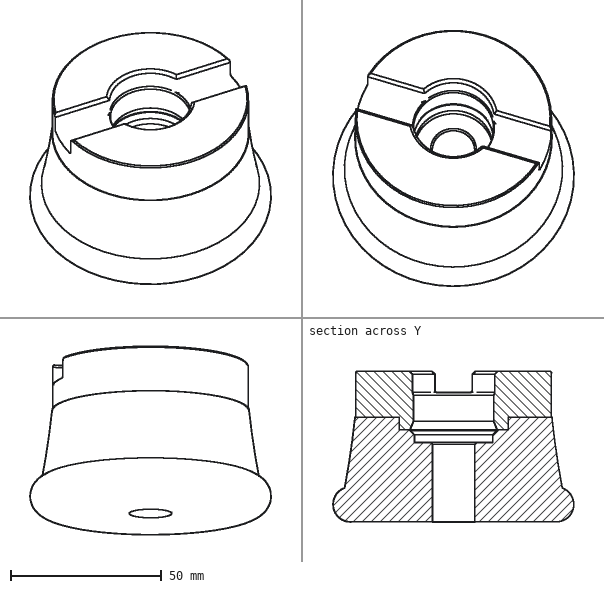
import cadquery as cq
import math

outer_radius = 40.0
rim_radius = 5.8
skirt_bottom_radius = 36.1
skirt_top_radius = 32.7
skirt_sag = 0.2
seam_height = 34.8
through_hole_diameter = 14.0
hole_chamfer = 0.55
pocket_diameter = 25.9
pocket_floor_height = 26.4

ring_diameter = 65.0
total_height = 50.0
rim_edge_chamfer = 0.5
upper_bore_diameter = 27.2
lower_bore_diameter = 26.55
bore_taper_height = 0.95
mouth_chamfer = 1.0
slot_width = 12.3
slot_depth = 7.0
slot_floor_fillet = 0.7
slot_mouth_chamfer = 1.0
slot_corner_fillet = 0.8

spigot_diameter = 36.0
spigot_bottom_height = 30.6
spigot_bevel_height = 2.7
socket_bevel_height = 1.4
groove_diameter = 28.8
groove_land_height = 0.3

rim_centre_radius = outer_radius - rim_radius
skirt_bottom_height = rim_radius + math.sqrt(
    rim_radius**2 - (skirt_bottom_radius - rim_centre_radius) ** 2
)
slot_floor_height = total_height - slot_depth


def revolve_about_z(profile):
    """Turn a closed radius-height profile about the Z axis."""
    return profile.close().revolve(360, (0, 0, 0), (0, 1, 0))


def make_base():
    hole_radius = through_hole_diameter / 2
    pocket_radius = pocket_diameter / 2
    land_bottom = spigot_bottom_height - groove_land_height
    socket_radius = spigot_diameter / 2
    skirt_middle = (
        (skirt_bottom_radius + skirt_top_radius) / 2 - skirt_sag,
        (skirt_bottom_height + seam_height) / 2,
    )
    profile = (
        cq.Workplane("XZ")
        .moveTo(hole_radius, 0)
        .lineTo(rim_centre_radius, 0)
        .threePointArc((outer_radius, rim_radius), (skirt_bottom_radius, skirt_bottom_height))
        .threePointArc(skirt_middle, (skirt_top_radius, seam_height))
        .lineTo(socket_radius, seam_height)
        .lineTo(socket_radius, spigot_bottom_height)
        .lineTo(groove_diameter / 2, spigot_bottom_height)
        .lineTo(groove_diameter / 2, land_bottom)
        .lineTo(pocket_radius, land_bottom - socket_bevel_height)
        .lineTo(pocket_radius, pocket_floor_height)
        .lineTo(hole_radius + hole_chamfer, pocket_floor_height)
        .lineTo(hole_radius, pocket_floor_height - hole_chamfer)
    )
    return revolve_about_z(profile)


def make_slot_cutter():
    """Full-length slot along Y with rounded floor corners and a bevelled mouth."""
    half_width = slot_width / 2
    half_floor = half_width - slot_floor_fillet
    half_mouth = half_width + slot_mouth_chamfer
    corner_height = slot_floor_height + slot_floor_fillet
    mouth_height = total_height - slot_mouth_chamfer
    inset = slot_floor_fillet * (1 - math.sqrt(0.5))
    corner_x = half_width - inset
    corner_z = slot_floor_height + inset
    return (
        cq.Workplane("XZ")
        .moveTo(-half_floor, slot_floor_height)
        .lineTo(half_floor, slot_floor_height)
        .threePointArc((corner_x, corner_z), (half_width, corner_height))
        .lineTo(half_width, mouth_height)
        .lineTo(half_mouth, total_height)
        .lineTo(-half_mouth, total_height)
        .lineTo(-half_width, mouth_height)
        .lineTo(-half_width, corner_height)
        .threePointArc((-corner_x, corner_z), (-half_floor, slot_floor_height))
        .close()
        .extrude(outer_radius, both=True)
    )


def make_drive_ring():
    ring_radius = ring_diameter / 2
    upper_radius = upper_bore_diameter / 2
    lower_radius = lower_bore_diameter / 2
    spigot_radius = spigot_diameter / 2
    profile = (
        cq.Workplane("XZ")
        .moveTo(groove_diameter / 2, spigot_bottom_height)
        .lineTo(spigot_radius, spigot_bottom_height)
        .lineTo(spigot_radius, seam_height)
        .lineTo(ring_radius, seam_height)
        .lineTo(ring_radius, total_height - rim_edge_chamfer)
        .lineTo(ring_radius - rim_edge_chamfer, total_height)
        .lineTo(upper_radius + mouth_chamfer, total_height)
        .lineTo(upper_radius, total_height - mouth_chamfer)
        .lineTo(upper_radius, slot_floor_height)
        .lineTo(lower_radius, slot_floor_height - bore_taper_height)
        .lineTo(lower_radius, spigot_bottom_height + spigot_bevel_height)
    )
    ring = revolve_about_z(profile).cut(make_slot_cutter())
    slot_corners = cq.selectors.BoxSelector(
        (-slot_width, -upper_bore_diameter, slot_floor_height),
        (slot_width, upper_bore_diameter, total_height),
    )
    return ring.edges("|Z").edges(slot_corners).fillet(slot_corner_fillet)


base = make_base()
drive_ring = make_drive_ring()

result = cq.Compound.makeCompound([base.val(), drive_ring.val()])